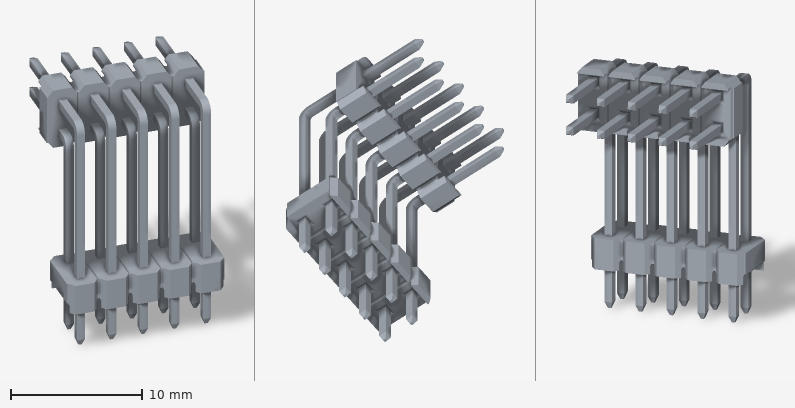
import cadquery as cq

PITCH = 2.54
COLUMNS = 5
PIN_SIZE = 0.64
TIP_SIZE = 0.24
TIP_LENGTH = 0.52
BEND_OUTER_RADIUS = 0.9

HEADER_LENGTH = 4.98
HEADER_WIDTH = COLUMNS * PITCH
HEADER_DEPTH = 2.5
FLOOR_DEPTH = 1.9
WEB_DEPTH = 1.7
CORNER_LENGTH = 0.5
FLANGE_THICKNESS = CORNER_LENGTH
BLOCK_WIDTH = 2.34
BLOCK_TIP_WIDTH = 1.54
BLOCK_FRONT_WIDTH = 2.16
GROOVE_WIDTH = PITCH - BLOCK_WIDTH
GROOVE_DEPTH = 0.1
FUNNEL_SIZE = 1.22
FUNNEL_RADIUS = (FUNNEL_SIZE - PIN_SIZE) / 2

LOWER_TIP_Z = -3.3
UPPER_HEADER_TOP_Z = 16.8
UPPER_HEADER_BACK_X = -2.68
LEFT_TIP_X = -9.98
UPPER_HEADER_Z = UPPER_HEADER_TOP_Z - HEADER_LENGTH / 2

COLUMN_Y = [(i - (COLUMNS - 1) / 2) * PITCH for i in range(COLUMNS)]
ROW_OFFSETS = [-PITCH / 2, PITCH / 2]


def box_between(x_range, y_range, z_range):
    """Axis-aligned box given by its limits on each axis."""
    size = [high - low for low, high in (x_range, y_range, z_range)]
    corner = (x_range[0], y_range[0], z_range[0])
    return cq.Workplane("XY").box(*size, centered=False).translate(corner)


def header_block(y, narrow_far_side):
    """Octagonal block of one column, narrowed in front of the webs.

    The -Y side is always narrowed, the +Y side only on request.
    """
    half_length = HEADER_LENGTH / 2
    shoulder = half_length - CORNER_LENGTH
    half_width = BLOCK_WIDTH / 2
    half_tip = BLOCK_TIP_WIDTH / 2
    half_front = BLOCK_FRONT_WIDTH / 2
    far_front = half_front if narrow_far_side else half_width
    octagon = (
        cq.Workplane("XY")
        .polyline([
            (-half_length, -half_tip), (-shoulder, -half_width),
            (shoulder, -half_width), (half_length, -half_tip),
            (half_length, half_tip), (shoulder, half_width),
            (-shoulder, half_width), (-half_length, half_tip),
        ])
        .close()
        .extrude(HEADER_DEPTH)
    )
    web_z = HEADER_DEPTH - WEB_DEPTH
    floor_z = HEADER_DEPTH - FLOOR_DEPTH
    side_profile = (
        cq.Workplane("YZ")
        .polyline([
            (-half_front, 0), (far_front, 0), (far_front, floor_z),
            (half_width, web_z), (half_width, HEADER_DEPTH),
            (-half_width, HEADER_DEPTH), (-half_width, web_z), (-half_front, floor_z),
        ])
        .close()
        .extrude(half_length, both=True)
    )
    return octagon.intersect(side_profile).translate((0, y, 0))


def header_web():
    """Spine joining the blocks, with a V groove on its back between neighbours.

    At the +Y end it is thickened up to the depth of the recessed floor.
    """
    half_length = HEADER_LENGTH / 2 - CORNER_LENGTH
    half_width = HEADER_WIDTH / 2
    web = box_between(
        (-half_length, half_length),
        (-half_width, half_width),
        (HEADER_DEPTH - WEB_DEPTH, HEADER_DEPTH),
    )
    groove = (
        cq.Workplane("YZ")
        .polyline([
            (-GROOVE_WIDTH / 2, HEADER_DEPTH),
            (0, HEADER_DEPTH - GROOVE_DEPTH),
            (GROOVE_WIDTH / 2, HEADER_DEPTH),
        ])
        .close()
        .extrude(half_length, both=True)
    )
    for y in COLUMN_Y[:-1]:
        web = web.cut(groove.translate((0, y + PITCH / 2, 0)))
    end_cap = box_between(
        (-half_length, half_length),
        (COLUMN_Y[-1], half_width),
        (HEADER_DEPTH - FLOOR_DEPTH, HEADER_DEPTH),
    )
    return web.union(end_cap)


def funnel_prism(plane):
    """Bell-shaped profile, rounded from the recessed floor to the pin, extruded both ways."""
    half_mouth = FUNNEL_SIZE / 2
    half_throat = PIN_SIZE / 2
    floor_z = HEADER_DEPTH - FLOOR_DEPTH
    throat_z = floor_z + FUNNEL_RADIUS
    return (
        cq.Workplane(plane)
        .moveTo(-half_mouth, floor_z)
        .lineTo(half_mouth, floor_z)
        .radiusArc((half_throat, throat_z), FUNNEL_RADIUS)
        .lineTo(-half_throat, throat_z)
        .radiusArc((-half_mouth, floor_z), FUNNEL_RADIUS)
        .close()
        .extrude(half_mouth, both=True)
    )


def make_funnel():
    """Square lead-in with a rounded edge around a pin at x = 0, y = 0."""
    return funnel_prism("XZ").intersect(funnel_prism("YZ"))


def make_header():
    """Header with its flanges pointing down to z = 0."""
    header = header_web()
    for y in COLUMN_Y:
        is_last = y == COLUMN_Y[-1]
        header = header.union(header_block(y, narrow_far_side=not is_last))
    slot_half = HEADER_LENGTH / 2 - FLANGE_THICKNESS
    slot = box_between(
        (-slot_half, slot_half),
        (-HEADER_WIDTH / 2, HEADER_WIDTH / 2),
        (0, HEADER_DEPTH - FLOOR_DEPTH),
    )
    header = header.cut(slot)
    funnel = make_funnel()
    for y in COLUMN_Y:
        for x in ROW_OFFSETS:
            header = header.cut(funnel.translate((x, y, 0)))
    return header


def pin_tip(plane):
    """Square taper that starts at full pin size and narrows along the plane normal."""
    return (
        cq.Workplane(plane)
        .rect(PIN_SIZE, PIN_SIZE)
        .workplane(offset=TIP_LENGTH)
        .rect(TIP_SIZE, TIP_SIZE)
        .loft(ruled=True)
    )


def make_pin(x, z):
    """Right-angle pin: vertical leg centred on x, horizontal leg centred on z, at y = 0."""
    half = PIN_SIZE / 2
    start_x = LEFT_TIP_X + TIP_LENGTH
    end_z = LOWER_TIP_Z + TIP_LENGTH
    inner_radius = BEND_OUTER_RADIUS - PIN_SIZE
    bend_x = x + half - BEND_OUTER_RADIUS
    bend_z = z + half - BEND_OUTER_RADIUS
    shank = (
        cq.Workplane("XZ")
        .moveTo(start_x, z + half)
        .lineTo(bend_x, z + half)
        .radiusArc((x + half, bend_z), BEND_OUTER_RADIUS)
        .lineTo(x + half, end_z)
        .lineTo(x - half, end_z)
        .lineTo(x - half, bend_z)
        .radiusArc((bend_x, z - half), -inner_radius)
        .lineTo(start_x, z - half)
        .close()
        .extrude(half, both=True)
    )
    left_plane = cq.Plane(origin=(start_x, 0, z), xDir=(0, 1, 0), normal=(-1, 0, 0))
    lower_plane = cq.Plane(origin=(x, 0, end_z), xDir=(1, 0, 0), normal=(0, 0, -1))
    return shank.union(pin_tip(left_plane)).union(pin_tip(lower_plane))


lower_header = make_header()
upper_header = (
    lower_header
    .rotate((0, 0, 0), (0, 1, 0), 90)
    .translate((UPPER_HEADER_BACK_X - HEADER_DEPTH, 0, UPPER_HEADER_Z))
)

result = lower_header.union(upper_header)
for row_offset in ROW_OFFSETS:
    pin = make_pin(row_offset, UPPER_HEADER_Z + row_offset)
    for column_y in COLUMN_Y:
        result = result.union(pin.translate((0, column_y, 0)))